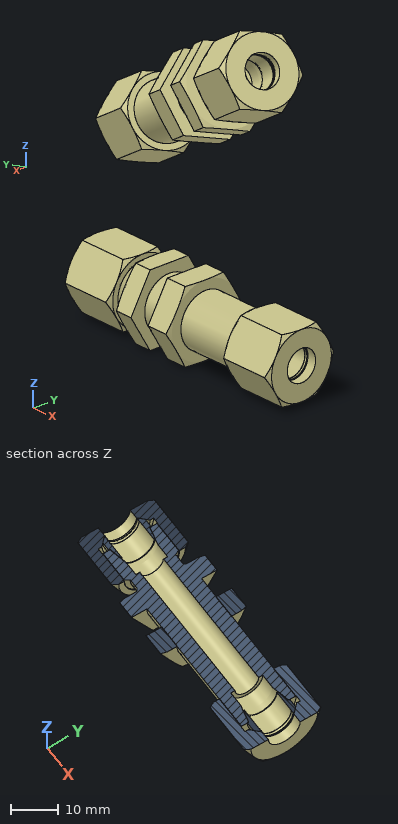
import cadquery as cq
import math


TOTAL_LENGTH = 65.0
LEFT_END = -TOTAL_LENGTH / 2

THREAD_RADIUS = 7.0
TUBE_SOCKET_RADIUS = 4.0
FLOW_BORE_RADIUS = 3.0

NUT_LENGTH = 14.5
NUT_ACROSS_FLATS = 17.0
NUT_CHAMFER_ANGLE = 30.0
NUT_LAND_LENGTH = 2.5
NUT_SEAT_DEPTH = 4.55

RING_BACK_DEPTH = 2.8
RING_LIP_LENGTH = 0.65
RING_RELIEF_RADIUS = 4.1
RING_OUTER_RADIUS = 5.45
RING_TIP_DEPTH = 9.1

BODY_END_DEPTH = 6.0
CONE_HALF_ANGLE = 12.0
CONE_MOUTH_RADIUS = 5.0
SOCKET_DEPTH = 14.3
NECK_START = 14.9
NECK_RADIUS = 5.85
THREAD_RUNOUT_ANGLE = 30.0
NECK_FILLET = 0.8

HEX_ACROSS_FLATS = 19.0
HEX_CHAMFER_ANGLE = 15.0
COLLAR_START = 18.0
COLLAR_LENGTH = 5.0
LOCKNUT_START = 28.5
LOCKNUT_LENGTH = 6.05


def slope(angle):
    return math.tan(math.radians(angle))


def revolve_about_x(points):
    """Revolve a closed outline of (x, radius) points about the X axis."""
    return cq.Workplane("XY").polyline(points).close().revolve(360, (0, 0, 0), (1, 0, 0))


def cylinder(start, length, radius):
    return cq.Workplane("YZ", origin=(start, 0, 0)).circle(radius).extrude(length)


def hexagon(start, length, across_flats, chamfer_angle, chamfer_left, chamfer_right):
    """Hexagonal prism with flats at the top and bottom and its corners turned off conically."""
    flat_radius = across_flats / 2
    corner_radius = flat_radius / math.cos(math.pi / 6)
    chamfer_length = (corner_radius - flat_radius) * slope(chamfer_angle)
    end = start + length
    prism = cq.Workplane("YZ", origin=(start, 0, 0)).polygon(6, 2 * corner_radius).extrude(length)

    outline = [(start, 0)]
    if chamfer_left:
        outline += [(start, flat_radius), (start + chamfer_length, corner_radius)]
    else:
        outline += [(start, corner_radius)]
    if chamfer_right:
        outline += [(end - chamfer_length, corner_radius), (end, flat_radius)]
    else:
        outline += [(end, corner_radius)]
    outline += [(end, 0)]
    return prism.intersect(revolve_about_x(outline))


def make_union_nut():
    """Union nut: tube hole, 45 degree seat for the cutting ring, then the thread bore."""
    blank = hexagon(LEFT_END, NUT_LENGTH, NUT_ACROSS_FLATS, NUT_CHAMFER_ANGLE, True, True)
    seat_start = LEFT_END + NUT_LAND_LENGTH
    seat_end = LEFT_END + NUT_SEAT_DEPTH
    seat_radius = TUBE_SOCKET_RADIUS + seat_end - seat_start
    nut_end = LEFT_END + NUT_LENGTH
    cavity = revolve_about_x([
        (LEFT_END, 0),
        (LEFT_END, TUBE_SOCKET_RADIUS),
        (seat_start, TUBE_SOCKET_RADIUS),
        (seat_end, seat_radius),
        (seat_end, THREAD_RADIUS),
        (nut_end, THREAD_RADIUS),
        (nut_end, 0),
    ])
    return blank.cut(cavity)


def make_cutting_ring():
    """Ring between the nut seat and the body cone, relieved past the lip of its bore."""
    back = LEFT_END + RING_BACK_DEPTH
    back_radius = TUBE_SOCKET_RADIUS + RING_BACK_DEPTH - NUT_LAND_LENGTH
    shoulder = back + RING_OUTER_RADIUS - back_radius
    body_face = LEFT_END + BODY_END_DEPTH
    tip = LEFT_END + RING_TIP_DEPTH
    tip_radius = CONE_MOUTH_RADIUS - (tip - body_face) * slope(CONE_HALF_ANGLE)
    lip_end = back + RING_LIP_LENGTH
    return revolve_about_x([
        (back, TUBE_SOCKET_RADIUS),
        (back, back_radius),
        (shoulder, RING_OUTER_RADIUS),
        (body_face, RING_OUTER_RADIUS),
        (body_face, CONE_MOUTH_RADIUS),
        (tip, tip_radius),
        (tip, RING_RELIEF_RADIUS),
        (lip_end, RING_RELIEF_RADIUS),
        (lip_end, TUBE_SOCKET_RADIUS),
    ])


def make_end_socket():
    """Space cut into the body's left end: a cone for the ring, then a straight tube socket."""
    face = LEFT_END + BODY_END_DEPTH
    cone_length = (CONE_MOUTH_RADIUS - TUBE_SOCKET_RADIUS) / slope(CONE_HALF_ANGLE)
    socket_end = LEFT_END + SOCKET_DEPTH
    return revolve_about_x([
        (face, 0),
        (face, CONE_MOUTH_RADIUS),
        (face + cone_length, TUBE_SOCKET_RADIUS),
        (socket_end, TUBE_SOCKET_RADIUS),
        (socket_end, 0),
    ])


def make_body():
    """Threaded barrel with a hexagonal collar, a thread relief neck and a bore right through."""
    left_face = LEFT_END + BODY_END_DEPTH
    right_face = -left_face
    collar = LEFT_END + COLLAR_START
    neck = LEFT_END + NECK_START
    thread_end = neck - (THREAD_RADIUS - NECK_RADIUS) * slope(THREAD_RUNOUT_ANGLE)
    fillet_start = collar - NECK_FILLET
    fillet_top = NECK_RADIUS + NECK_FILLET
    fillet_offset = NECK_FILLET * math.sqrt(0.5)
    fillet_middle = (fillet_start + fillet_offset, fillet_top - fillet_offset)

    barrel = (
        cq.Workplane("XY")
        .moveTo(left_face, 0)
        .lineTo(left_face, THREAD_RADIUS)
        .lineTo(thread_end, THREAD_RADIUS)
        .lineTo(neck, NECK_RADIUS)
        .lineTo(fillet_start, NECK_RADIUS)
        .threePointArc(fillet_middle, (collar, fillet_top))
        .lineTo(collar, THREAD_RADIUS)
        .lineTo(right_face, THREAD_RADIUS)
        .lineTo(right_face, 0)
        .close()
        .revolve(360, (0, 0, 0), (1, 0, 0))
    )
    hex_collar = hexagon(collar, COLLAR_LENGTH, HEX_ACROSS_FLATS, HEX_CHAMFER_ANGLE, True, False)
    socket = make_end_socket()
    flow_bore = cylinder(left_face, right_face - left_face, FLOW_BORE_RADIUS)
    return barrel.union(hex_collar).cut(flow_bore).cut(socket).cut(socket.mirror("YZ"))


def make_locknut():
    """Bulkhead locknut threaded onto the barrel, chamfered on its right face only."""
    start = LEFT_END + LOCKNUT_START
    blank = hexagon(start, LOCKNUT_LENGTH, HEX_ACROSS_FLATS, HEX_CHAMFER_ANGLE, False, True)
    return blank.cut(cylinder(start, LOCKNUT_LENGTH, THREAD_RADIUS))


body = make_body()
locknut = make_locknut()

end_parts = []
for make_end_part in (make_union_nut, make_cutting_ring):
    left_part = make_end_part()
    right_part = left_part.mirror("YZ")
    end_parts += [left_part.val(), right_part.val()]

result = cq.Compound.makeCompound([body.val(), locknut.val(), *end_parts])